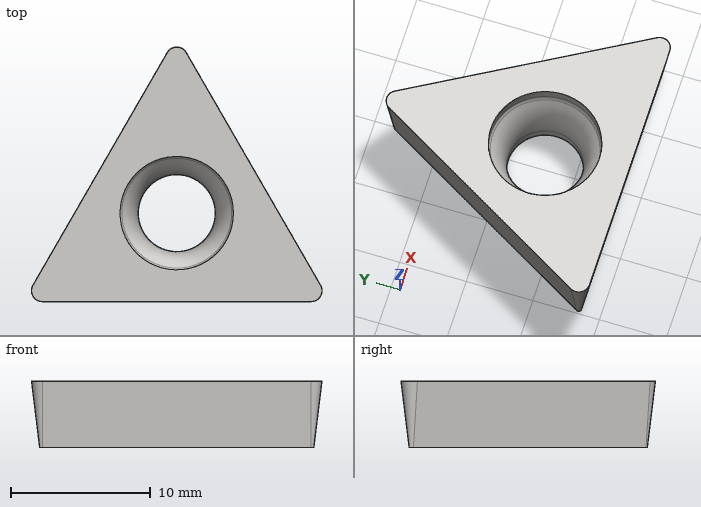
import cadquery as cq
import math

width = 20.83
thickness = 4.77
nose_radius = 0.8
clearance_angle = 7.0

bore_radius = 5.5 / 2
mouth_radius = 8.12 / 2
mouth_depth = 0.87
blend_radius = 0.42
seat_radius = 3.95

inscribed_radius = nose_radius + (width - 2 * nose_radius) / (2 * math.sqrt(3))


def insert_body():
    """Rounded triangle, full size on top and tapering toward the bottom."""
    sharp_corner_radius = 2 * inscribed_radius
    outline = cq.Sketch().regularPolygon(sharp_corner_radius, 3).vertices().fillet(nose_radius)
    return (
        cq.Workplane("XY")
        .workplane(offset=thickness)
        .placeSketch(outline)
        .extrude(-thickness, taper=clearance_angle)
    )


def screw_hole():
    """Revolved cutter: the blend and seat arcs are tangent to each other and to the straight walls."""
    blend_center_x = mouth_radius - blend_radius
    blend_center_z = thickness - mouth_depth
    seat_center_x = bore_radius + seat_radius

    center_distance = blend_radius + seat_radius
    tangent_angle = math.acos((seat_center_x - blend_center_x) / center_distance)
    seat_center_z = blend_center_z - center_distance * math.sin(tangent_angle)

    def seat_point(angle):
        return (
            seat_center_x - seat_radius * math.cos(angle),
            seat_center_z + seat_radius * math.sin(angle),
        )

    def blend_point(angle):
        return (
            blend_center_x + blend_radius * math.cos(angle),
            blend_center_z - blend_radius * math.sin(angle),
        )

    middle_angle = tangent_angle / 2
    return (
        cq.Workplane("XZ")
        .lineTo(bore_radius, 0)
        .lineTo(bore_radius, seat_center_z)
        .threePointArc(seat_point(middle_angle), seat_point(tangent_angle))
        .threePointArc(blend_point(middle_angle), (mouth_radius, blend_center_z))
        .lineTo(mouth_radius, thickness)
        .lineTo(0, thickness)
        .close()
        .revolve(360, (0, 0, 0), (0, 1, 0))
    )


result = insert_body().cut(screw_hole())